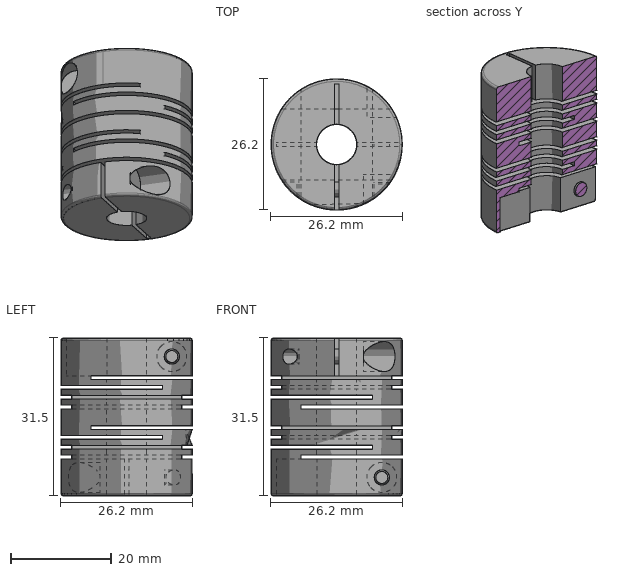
import cadquery as cq

length = 31.5
radius = 13.1
bore_radius = 4.0
edge_fillet = 0.5

slot_groups = 2
slot_turns = (0, 2, 3, 1)
slot_width = 0.72
slot_pitch = 1.95
group_pitch = 10.0
slot_reach = 7.12
upper_hub = 7.53
slot_stack = (slot_groups - 1) * group_pitch + (len(slot_turns) - 1) * slot_pitch + slot_width
lower_hub = length - upper_hub - slot_stack

slit_width = 0.88
slit_reach = 12.03

screw_offset = 9.0
screw_height = 3.7
screw_radius = 1.5
screw_chamfer = 0.3
screw_tip = 7.88
head_radius = 3.0
head_seat = 5.35

QUARTER_TURN = 90


def turned(solid, angle):
    return solid.rotate((0, 0, 0), (0, 0, 1), angle)


def make_body():
    body = cq.Workplane("XY").circle(radius).extrude(length)
    body = body.faces("<Z or >Z").edges().fillet(edge_fillet)
    return body.cut(cq.Workplane("XY").circle(bore_radius).extrude(length))


def open_cut(width, height, reach, top):
    """Box open toward -Y whose closed end is at Y = reach."""
    depth = reach + radius
    box = cq.Workplane("XY").box(width, depth, height, centered=(True, False, False))
    return box.translate((0, -radius, top - height))


def cut_slots(body):
    for group in range(slot_groups):
        for level, turns in enumerate(slot_turns):
            top = length - upper_hub - group * group_pitch - level * slot_pitch
            slot = open_cut(2 * radius, slot_width, slot_reach, top)
            body = body.cut(turned(slot, turns * QUARTER_TURN))
    return body


def rod(rod_radius, start, end):
    """Cylinder along X on the screw axis of the upper hub."""
    face = cq.Workplane("YZ", origin=(start, -screw_offset, length - screw_height))
    return face.circle(rod_radius).extrude(end - start)


def clamp_cuts(slit_depth):
    """Slit, screw hole and head counterbore, placed in the upper hub."""
    slit = open_cut(slit_width, slit_depth, slit_reach, length)
    hole = rod(screw_radius, -radius, head_seat)
    counterbore = rod(head_radius, head_seat, radius)
    return slit.union(hole).union(counterbore)


def clamp_screw():
    shank = rod(screw_radius, -screw_tip, head_seat)
    return shank.faces("<X").edges().chamfer(screw_chamfer)


def lower_hub_copy(solid):
    """Mirror an upper hub feature to the lower hub and turn it a quarter."""
    mirrored = solid.mirror("XY", (0, 0, length / 2))
    return turned(mirrored, QUARTER_TURN)


result = cut_slots(make_body())
result = result.cut(clamp_cuts(upper_hub)).cut(lower_hub_copy(clamp_cuts(lower_hub)))
result = result.union(clamp_screw()).union(lower_hub_copy(clamp_screw()))